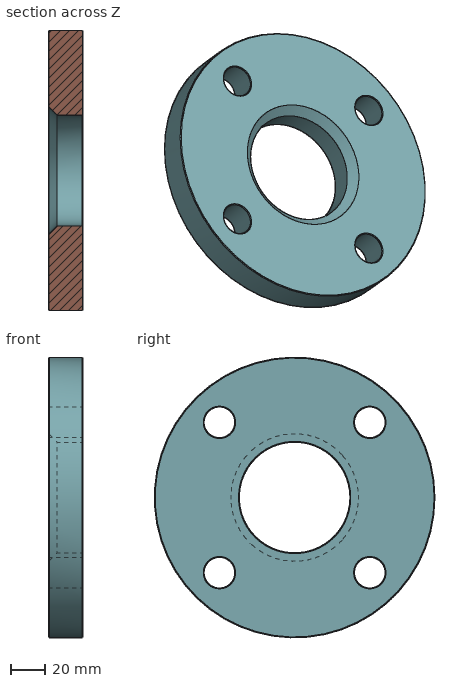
import cadquery as cq

outer_diameter = 165.0
thickness = 20.0
rim_chamfer = 0.5

bore_diameter = 65.0
cone_mouth_diameter = 75.0
cone_depth = 5.0
bore_chamfer = 0.5

bolt_hole_diameter = 18.0
bolt_circle_diameter = 125.0
bolt_hole_count = 4
first_bolt_angle = 45.0
bolt_hole_chamfer = 0.5

front_x = -thickness / 2
back_x = thickness / 2


def make_disc():
    """Solid disc with both rim edges chamfered."""
    disc = cq.Workplane("YZ", origin=(front_x, 0, 0)).circle(outer_diameter / 2).extrude(thickness)
    return disc.edges().chamfer(rim_chamfer)


def make_bore_cutter():
    """Revolved profile of the through bore, its conical mouth and its edge chamfer."""
    bore_radius = bore_diameter / 2
    profile = (
        cq.Workplane("XY")
        .moveTo(front_x, 0)
        .lineTo(front_x, cone_mouth_diameter / 2)
        .lineTo(front_x + cone_depth, bore_radius)
        .lineTo(back_x - bore_chamfer, bore_radius)
        .lineTo(back_x, bore_radius + bore_chamfer)
        .lineTo(back_x, 0)
        .close()
    )
    return profile.revolve(360, (0, 0, 0), (1, 0, 0))


def make_bolt_hole_cutter():
    """Revolved profiles of all bolt holes, each chamfered at both ends."""
    hole_radius = bolt_hole_diameter / 2
    mouth_radius = hole_radius + bolt_hole_chamfer
    hole = (
        cq.Workplane("XY")
        .moveTo(front_x, 0)
        .lineTo(front_x, mouth_radius)
        .lineTo(front_x + bolt_hole_chamfer, hole_radius)
        .lineTo(back_x - bolt_hole_chamfer, hole_radius)
        .lineTo(back_x, mouth_radius)
        .lineTo(back_x, 0)
        .close()
        .revolve(360, (0, 0, 0), (1, 0, 0))
        .translate((0, bolt_circle_diameter / 2, 0))
    )
    cutters = cq.Workplane("XY")
    for index in range(bolt_hole_count):
        angle = first_bolt_angle + index * 360.0 / bolt_hole_count
        cutters = cutters.add(hole.rotate((0, 0, 0), (1, 0, 0), angle))
    return cutters.combine()


result = make_disc().cut(make_bore_cutter()).cut(make_bolt_hole_cutter())